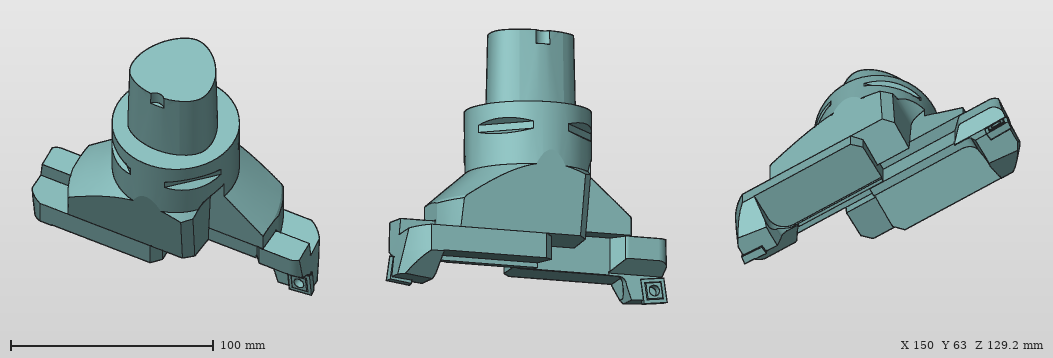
import cadquery as cq
import math

BIG = 120.0
MARGIN = 7.5

SHANK_HEIGHT = 38.2
SHANK_BASE_RADIUS = 22.2
SHANK_TOP_RADIUS = 21.3
LOBE_ECCENTRICITY = 3.0
LOBE_HALF_ANGLE = 38.0
NOTCH_RADIUS = 4.5
NOTCH_AXIS_Y = -22.3
NOTCH_DEPTH = 6.9

FLANGE_RADIUS = 31.5
FLANGE_BOTTOM = -31.5
GROOVE_FLOOR = 27.9
GROOVE_MIDDLE = -11.8
GROOVE_FLOOR_WIDTH = 3.6
GROOVE_MOUTH_WIDTH = 7.8

WING_RADIUS = 53.2
WING_FLAT_X = 52.3
CONE_BOTTOM = -49.5
WING_EDGE_DROP = 1.3
SEAT_Z = -65.1
SIDE_Y_AT_SEAT = 26.1
SIDE_ANGLE = 7.5
SLOT_HALF_WIDTH = 7.0
SLOT_CEILING = -59.0
END_X_AT_SEAT = 21.9
END_LEAN = 0.036
POCKET_FILLET = 14.5
POCKET_FILLET_Z = -35.5
CORNER_CHAMFER = 4.5

RIB_TOP = -59.4
CARTRIDGE_TAIL_X = -3.9
CARTRIDGE_BOTTOM = -78.0
CARTRIDGE_SIDE_END_X = 62.1
FOOT_BOTTOM = -89.7
LIP_OUTER_Y = 3.0
UNDERSIDE_EDGE_Z = -77.5
UNDERSIDE_ANGLE = 4.8
FOOT_BACK_X = 55.3
FOOT_BACK_ROUND = 9.5
FOOT_FILLET_START_X = 49.5
FOOT_FILLET_END = (53.5, -82.0)
FOOT_TOE_X = 56.1
FOOT_CHAMFER_Y = 12.7
FOOT_CLEARANCE_ANGLE = 5.0
END_ROUND_BULGE = 0.7
END_SECTIONS = [
    (RIB_TOP, 71.7, 69.9, 20.1),
    (-77.7, 73.2, 72.3, 14.1),
    (FOOT_BOTTOM, 73.8, 73.8, 9.5),
]
RECESS_STANDOUT = 1.0
RIB_ROUND_RADIUS = 6.0
RIB_ROUND_START_X = 67.2
STEP_START_X = 44.5
STEP_END = (49.6, -6.5)
STEP_ROUND_END_X = 51.5
OVERHANG_START_X = 44.0
OVERHANG_Z = -76.8
OVERHANG_SLOPE = 0.65

INSERT_SIDE = 12.5
INSERT_THICKNESS = 3.9
INSERT_TURN = 7.0
INSERT_RELIEF = 7.0
INSERT_REACH_X = 75.0
INSERT_LOWEST_Z = -91.0
RAKE_ANGLE = 3.7
INSERT_STANDOUT = 0.5
BOSS_SIDE = 8.8
BOSS_HEIGHT = 0.5
BOSS_TAPER = 45.0
INSERT_HOLE_DIAMETER = 5.4

CUTTING_FACE_Y = (1.2, -1.5)

SIDE_SLOPE = math.tan(math.radians(SIDE_ANGLE))
SEAT_INNER_Z = SEAT_Z - (SIDE_Y_AT_SEAT - SLOT_HALF_WIDTH) * SIDE_SLOPE
RAKE_SLOPE = math.tan(math.radians(RAKE_ANGLE))


def half_turn(shape):
    return shape.rotate((0, 0, 0), (0, 0, 1), 180)


def side_y(z):
    """Y of the leaning side face at height z."""
    return SIDE_Y_AT_SEAT + (z - SEAT_Z) * SIDE_SLOPE


def end_x(z):
    """X of the leaning end face of each wing at height z."""
    return END_X_AT_SEAT + (z - SEAT_Z) * END_LEAN


def lobe_point(radius, degrees, z):
    """Point on the three-lobed curve; one lobe's apex is at +Y."""
    t = math.radians(degrees)
    e = LOBE_ECCENTRICITY
    u = radius * math.cos(t) - e * math.cos(2 * t) + e / 2 * math.cos(4 * t)
    v = radius * math.sin(t) + e * math.sin(2 * t) + e / 2 * math.sin(4 * t)
    return cq.Vector(v, -u, z)


def lobed_wire(radius, z):
    """Closed outline of six curves: the three lobes and the three flanks between them."""
    edges = []
    steps = 8
    for apex in (60, 180, 300):
        lobe_start = apex - LOBE_HALF_ANGLE
        lobe_end = apex + LOBE_HALF_ANGLE
        next_start = lobe_start + 120
        for start, end in ((lobe_start, lobe_end), (lobe_end, next_start)):
            angles = [start + (end - start) * i / steps for i in range(steps + 1)]
            edges.append(cq.Edge.makeSpline([lobe_point(radius, a, z) for a in angles]))
    return cq.Wire.assembleEdges(edges)


def make_shank():
    base = lobed_wire(SHANK_BASE_RADIUS, 0)
    top = lobed_wire(SHANK_TOP_RADIUS, SHANK_HEIGHT)
    shank = cq.Workplane(cq.Solid.makeLoft([base, top], True))
    notch = (
        cq.Workplane("XY", origin=(0, NOTCH_AXIS_Y, SHANK_HEIGHT - NOTCH_DEPTH))
        .circle(NOTCH_RADIUS)
        .extrude(NOTCH_DEPTH)
    )
    return shank.cut(notch)


def make_groove():
    """Straight groove with sloping walls, across the flange on its +X side."""
    depth = FLANGE_RADIUS - GROOVE_FLOOR
    floor = GROOVE_FLOOR_WIDTH / 2
    mouth = GROOVE_MOUTH_WIDTH / 2
    return (
        cq.Workplane("XZ", origin=(GROOVE_FLOOR, 0, GROOVE_MIDDLE))
        .polyline([(0, floor), (depth, mouth), (depth, -mouth), (0, -floor)])
        .close()
        .extrude(FLANGE_RADIUS, both=True)
    )


def make_wing_blank():
    """Flange, cone and wing rim turned about Z, trimmed by the end flats and the leaning sides."""
    floor = SEAT_Z - MARGIN
    turned = (
        cq.Workplane("XZ")
        .moveTo(0, 0)
        .lineTo(FLANGE_RADIUS, 0)
        .lineTo(FLANGE_RADIUS, FLANGE_BOTTOM)
        .lineTo(WING_FLAT_X, CONE_BOTTOM)
        .lineTo(WING_RADIUS, CONE_BOTTOM - WING_EDGE_DROP)
        .lineTo(WING_RADIUS, floor)
        .lineTo(0, floor)
        .close()
        .revolve(360, (0, 0, 0), (0, 1, 0))
    )
    half = [
        (side_y(0), 0),
        (SIDE_Y_AT_SEAT, SEAT_Z),
        (SLOT_HALF_WIDTH, SEAT_INNER_Z),
        (SLOT_HALF_WIDTH, SLOT_CEILING),
    ]
    other_half = [(-y, z) for y, z in reversed(half)]
    cross_section = cq.Workplane("YZ").polyline(half + other_half).close().extrude(WING_FLAT_X, both=True)
    return turned.intersect(cross_section)


def make_wing_pocket():
    """Space beside the -Y wing: its end face, the rounding above it and its chamfered corner."""
    fillet_x = end_x(POCKET_FILLET_Z)
    half_arc = math.sqrt(0.5)
    arc_middle = (
        fillet_x + POCKET_FILLET * (1 - half_arc),
        POCKET_FILLET_Z + POCKET_FILLET * half_arc,
    )
    arc_top = (fillet_x + POCKET_FILLET, POCKET_FILLET_Z + POCKET_FILLET)
    floor = SEAT_Z - MARGIN
    pocket = (
        cq.Workplane("XZ", origin=(0, -SLOT_HALF_WIDTH, 0))
        .moveTo(end_x(floor), floor)
        .lineTo(fillet_x, POCKET_FILLET_Z)
        .threePointArc(arc_middle, arc_top)
        .lineTo(BIG, arc_top[1])
        .lineTo(BIG, floor)
        .close()
        .extrude(BIG)
    )

    def corner(z):
        x = end_x(z)
        y = -side_y(z)
        c = CORNER_CHAMFER
        points = [(x - c, y), (x - c, y - c), (x + c, y - c), (x + c, y + c), (x, y + c)]
        return cq.Wire.makePolygon([cq.Vector(px, py, z) for px, py in points], close=True)

    chamfer = cq.Solid.makeLoft([corner(floor), corner(FLANGE_BOTTOM)], True)
    return pocket.union(cq.Workplane(chamfer))


def make_body():
    body = make_wing_blank()
    pocket = make_wing_pocket()
    body = body.cut(pocket).cut(half_turn(pocket))
    for angle in (45, 135, 225, 315):
        body = body.cut(make_groove().rotate((0, 0, 0), (0, 0, 1), angle))
    return body.union(make_shank())


def place_on_foot(shape, cutting_face_y):
    """Turn and tilt a shape built about the middle of the cutting face, then put it on the foot."""
    turn = math.radians(INSERT_TURN)
    half_extent = INSERT_SIDE / 2 * (math.cos(turn) + math.sin(turn))
    x = INSERT_REACH_X - half_extent
    z = INSERT_LOWEST_Z + half_extent * math.cos(math.radians(RAKE_ANGLE))
    y = cutting_face_y + (z - FOOT_BOTTOM) * RAKE_SLOPE
    return (
        shape.rotate((0, 0, 0), (0, 1, 0), -INSERT_TURN)
        .rotate((0, 0, 0), (1, 0, 0), -RAKE_ANGLE)
        .translate((x, y, z))
    )


def make_insert_blank():
    """Square plate behind the XZ plane, tapering away from its cutting face."""
    return (
        cq.Workplane("XZ")
        .rect(INSERT_SIDE, INSERT_SIDE)
        .extrude(-INSERT_THICKNESS, taper=INSERT_RELIEF)
    )


def make_insert(cutting_face_y):
    boss = cq.Workplane("XZ").rect(BOSS_SIDE, BOSS_SIDE).extrude(BOSS_HEIGHT, taper=BOSS_TAPER)
    hole = cq.Workplane("XZ").circle(INSERT_HOLE_DIAMETER / 2).extrude(INSERT_THICKNESS, both=True)
    insert = make_insert_blank().union(boss).cut(hole)
    return place_on_foot(insert, cutting_face_y)


def end_section(z, rib_x, round_x, round_y):
    """Outline of the cartridge at one height, with its rounded outer corner."""
    tail_x = CARTRIDGE_TAIL_X
    c = CORNER_CHAMFER
    run_x = round_x - CARTRIDGE_SIDE_END_X
    run_y = SIDE_Y_AT_SEAT - round_y
    bulge = END_ROUND_BULGE / math.hypot(run_x, run_y)
    arc_middle = (round_x - run_x / 2 + run_y * bulge, round_y + run_y / 2 + run_x * bulge)
    return (
        cq.Workplane("XY", origin=(0, 0, z))
        .moveTo(tail_x, -SLOT_HALF_WIDTH)
        .lineTo(rib_x, -SLOT_HALF_WIDTH)
        .lineTo(round_x, round_y)
        .threePointArc(arc_middle, (CARTRIDGE_SIDE_END_X, SIDE_Y_AT_SEAT))
        .lineTo(tail_x + c, SIDE_Y_AT_SEAT)
        .lineTo(tail_x, SIDE_Y_AT_SEAT - c)
        .close()
        .wire()
        .val()
    )


def make_seat_clearance():
    """Everything above the sloped seat beside the rib."""
    outline = [
        (SLOT_HALF_WIDTH, SEAT_INNER_Z),
        (SIDE_Y_AT_SEAT, SEAT_Z),
        (SIDE_Y_AT_SEAT, 0),
        (SLOT_HALF_WIDTH, 0),
    ]
    return (
        cq.Workplane("YZ")
        .polyline(outline)
        .close()
        .extrude(BIG, both=True)
    )


def make_underside_clearance():
    """Everything below the underside, inside the foot and under its rising bottom."""
    low = FOOT_BOTTOM - MARGIN
    bottom_rise = BIG * math.tan(math.radians(FOOT_CLEARANCE_ANGLE))
    return (
        cq.Workplane("XZ")
        .moveTo(-BIG, CARTRIDGE_BOTTOM)
        .lineTo(FOOT_FILLET_START_X, CARTRIDGE_BOTTOM)
        .tangentArcPoint(FOOT_FILLET_END, relative=False)
        .lineTo(FOOT_TOE_X, FOOT_BOTTOM)
        .lineTo(FOOT_TOE_X + BIG, FOOT_BOTTOM + bottom_rise)
        .lineTo(FOOT_TOE_X + BIG, low)
        .lineTo(-BIG, low)
        .close()
        .extrude(BIG, both=True)
    )


def make_underside_hollow():
    """Hollow behind the lip, with a sloped roof and a round corner where it meets the foot."""
    r = FOOT_BACK_ROUND
    inset = r * (1 - math.sqrt(0.5))
    roof_rise = math.tan(math.radians(UNDERSIDE_ANGLE))
    low = FOOT_BOTTOM - MARGIN
    plan = (
        cq.Workplane("XY", origin=(0, 0, low))
        .moveTo(-BIG, LIP_OUTER_Y)
        .lineTo(FOOT_BACK_X - r, LIP_OUTER_Y)
        .threePointArc((FOOT_BACK_X - inset, LIP_OUTER_Y + inset), (FOOT_BACK_X, LIP_OUTER_Y + r))
        .lineTo(FOOT_BACK_X, BIG)
        .lineTo(-BIG, BIG)
        .close()
        .extrude(-low)
    )
    below_roof = (
        cq.Workplane("YZ")
        .polyline([
            (0, UNDERSIDE_EDGE_Z + SIDE_Y_AT_SEAT * roof_rise),
            (BIG, UNDERSIDE_EDGE_Z + (SIDE_Y_AT_SEAT - BIG) * roof_rise),
            (BIG, FOOT_BOTTOM - BIG),
            (0, FOOT_BOTTOM - BIG),
        ])
        .close()
        .extrude(BIG, both=True)
    )
    return plan.intersect(below_roof)


def make_foot_chamfer():
    """Wedge along the foot's lower edge, from the side face to the foot bottom."""
    outline = [
        (SIDE_Y_AT_SEAT, CARTRIDGE_BOTTOM),
        (FOOT_CHAMFER_Y, FOOT_BOTTOM),
        (SIDE_Y_AT_SEAT, FOOT_BOTTOM),
    ]
    return (
        cq.Workplane("YZ")
        .polyline(outline)
        .close()
        .extrude(BIG)
    )


def make_rib_rounding():
    """Material outside the round vertical corner at the rib's outer end."""
    r = RIB_ROUND_RADIUS
    axis_y = r - SLOT_HALF_WIDTH
    height = RIB_TOP - OVERHANG_Z
    base = cq.Workplane("XY", origin=(RIB_ROUND_START_X, axis_y, OVERHANG_Z))
    corner = base.rect(2 * r, -2 * r, centered=False).extrude(height)
    return corner.cut(base.circle(r).extrude(height))


def make_chip_space(foot_y):
    """Recess beside the other cartridge, and the space under the overhang ahead of the foot face."""

    def face_y(z):
        return foot_y + (z - FOOT_BOTTOM) * RAKE_SLOPE

    overhang_y = face_y(OVERHANG_Z)
    recess_y = overhang_y - RECESS_STANDOUT
    recess = (
        cq.Workplane("XY", origin=(0, 0, FOOT_BOTTOM))
        .moveTo(BIG, -SLOT_HALF_WIDTH)
        .lineTo(STEP_ROUND_END_X, -SLOT_HALF_WIDTH)
        .tangentArcPoint(STEP_END, relative=False)
        .lineTo(STEP_START_X, recess_y)
        .lineTo(-BIG, recess_y)
        .lineTo(-BIG, -BIG)
        .lineTo(BIG, -BIG)
        .close()
        .extrude(-FOOT_BOTTOM)
    )
    front_y = -2 * SLOT_HALF_WIDTH
    low = FOOT_BOTTOM - MARGIN
    overhang = (
        cq.Workplane("YZ", origin=(OVERHANG_START_X, 0, 0))
        .polyline([
            (face_y(low), low),
            (overhang_y, OVERHANG_Z),
            (front_y, OVERHANG_Z + (overhang_y - front_y) * OVERHANG_SLOPE),
            (front_y, low),
        ])
        .close()
        .extrude(BIG)
    )
    return recess.union(overhang)


def make_cartridge(cutting_face_y):
    sections = [end_section(*section) for section in END_SECTIONS]
    cartridge = cq.Workplane(cq.Solid.makeLoft(sections, True))
    cartridge = cartridge.cut(make_seat_clearance())
    cartridge = cartridge.cut(make_underside_clearance())
    cartridge = cartridge.cut(make_underside_hollow())
    cartridge = cartridge.cut(make_foot_chamfer())
    cartridge = cartridge.cut(make_rib_rounding())
    cartridge = cartridge.cut(make_chip_space(cutting_face_y + INSERT_STANDOUT))
    return cartridge.cut(place_on_foot(make_insert_blank(), cutting_face_y))


body = make_body()
right_y, left_y = CUTTING_FACE_Y
cartridges = [make_cartridge(right_y), half_turn(make_cartridge(left_y))]
inserts = [make_insert(right_y), half_turn(make_insert(left_y))]

result = cq.Compound.makeCompound(
    [body.val()] + [cartridge.val() for cartridge in cartridges] + [insert.val() for insert in inserts]
)